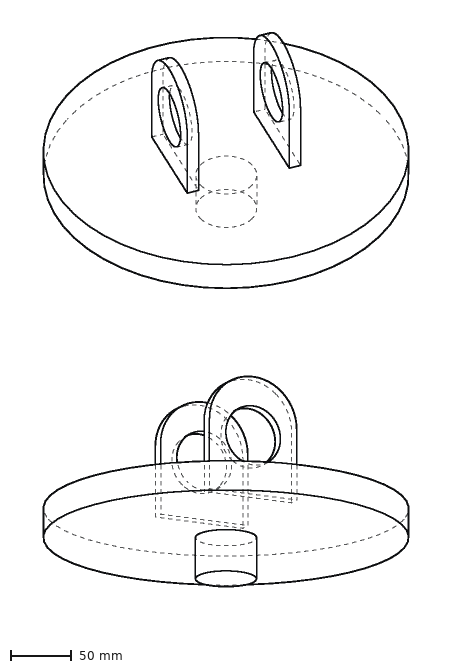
import cadquery as cq

plate_diameter = 300.0
plate_thickness = 25.0

pin_diameter = 50.0
pin_length = 35.0

lug_width = 80.0
lug_height = 100.0
lug_thickness = 10.0
lug_spacing = 90.0
lug_shoulder_height = lug_height - lug_width / 2

hole_diameter = 50.0
hole_height = lug_height / 2


def make_lug(y_middle):
    """Upright lug standing on the plate's top face (Z = 0), with its cross hole."""
    half_width = lug_width / 2
    back_face = cq.Workplane("XZ", origin=(0, y_middle + lug_thickness / 2, 0))
    body = (
        back_face.moveTo(-half_width, 0)
        .lineTo(half_width, 0)
        .lineTo(half_width, lug_shoulder_height)
        .threePointArc((0, lug_height), (-half_width, lug_shoulder_height))
        .close()
        .extrude(lug_thickness)
    )
    hole = back_face.center(0, hole_height).circle(hole_diameter / 2).extrude(lug_thickness)
    return body.cut(hole)


plate = cq.Workplane("XY").circle(plate_diameter / 2).extrude(-plate_thickness)
pin = (
    cq.Workplane("XY", origin=(0, 0, -plate_thickness))
    .circle(pin_diameter / 2)
    .extrude(-pin_length)
)

result = plate.union(pin)
for side in (-1, 1):
    result = result.union(make_lug(side * lug_spacing / 2))